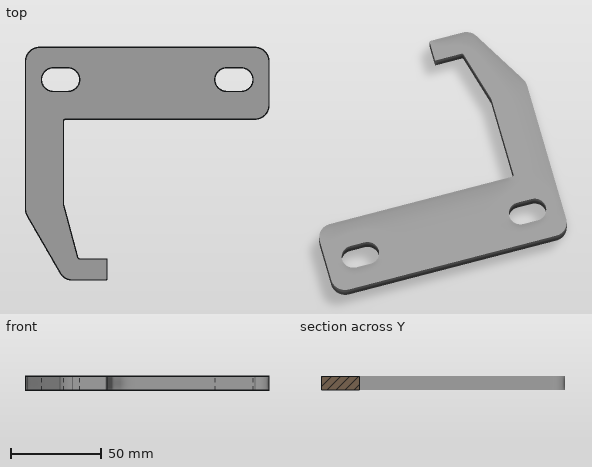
import cadquery as cq
import math

length = 135.0
height = 129.0
thickness = 8.0

bar_depth = 40.0
leg_width = 21.2
lip_thickness = 11.9
lip_reach = 45.2

outer_bend_drop = 91.7
outer_slant = math.radians(30)
inner_bend_drop = 87.1
inner_slant = math.radians(15)

outer_radius = 8.0
inner_radius = 1.0
lip_radius = 0.7

slot_length = 21.0
slot_width = 13.0
slot_drop = 18.0
slot_spacing = 96.0

lip_top = lip_thickness
bar_bottom = height - bar_depth
outer_bend_y = height - outer_bend_drop
inner_bend_y = height - inner_bend_drop
heel_x = outer_bend_y * math.tan(outer_slant)
throat_x = leg_width + (inner_bend_y - lip_top) * math.tan(inner_slant)

top_left = (0, height)
top_right = (length, height)
bar_end = (length, bar_bottom)
inner_corner = (leg_width, bar_bottom)
inner_bend = (leg_width, inner_bend_y)
throat = (throat_x, lip_top)
lip_upper = (lip_reach, lip_top)
lip_lower = (lip_reach, 0)
heel = (heel_x, 0)
outer_bend = (0, outer_bend_y)


def round_corners(body, corners, radius):
    """Fillet the upright edges that stand on the given outline corners."""
    for x, y in corners:
        nearest = cq.selectors.NearestToPointSelector((x, y, thickness / 2))
        body = body.edges("|Z").edges(nearest).fillet(radius)
    return body


def hook_plate():
    outline = [
        top_left, top_right, bar_end, inner_corner, inner_bend,
        throat, lip_upper, lip_lower, heel, outer_bend,
    ]
    plate = cq.Workplane("XY").polyline(outline).close().extrude(thickness)
    outer_corners = [top_left, top_right, bar_end, heel, outer_bend]
    plate = round_corners(plate, outer_corners, outer_radius)
    plate = round_corners(plate, [inner_corner, throat], inner_radius)
    return round_corners(plate, [lip_lower], lip_radius)


def mounting_slots():
    slot_y = height - slot_drop
    slot_centers = [(length / 2 + side * slot_spacing / 2, slot_y) for side in (-1, 1)]
    slots = cq.Workplane("XY").pushPoints(slot_centers)
    return slots.slot2D(slot_length, slot_width).extrude(thickness)


result = hook_plate().cut(mounting_slots())